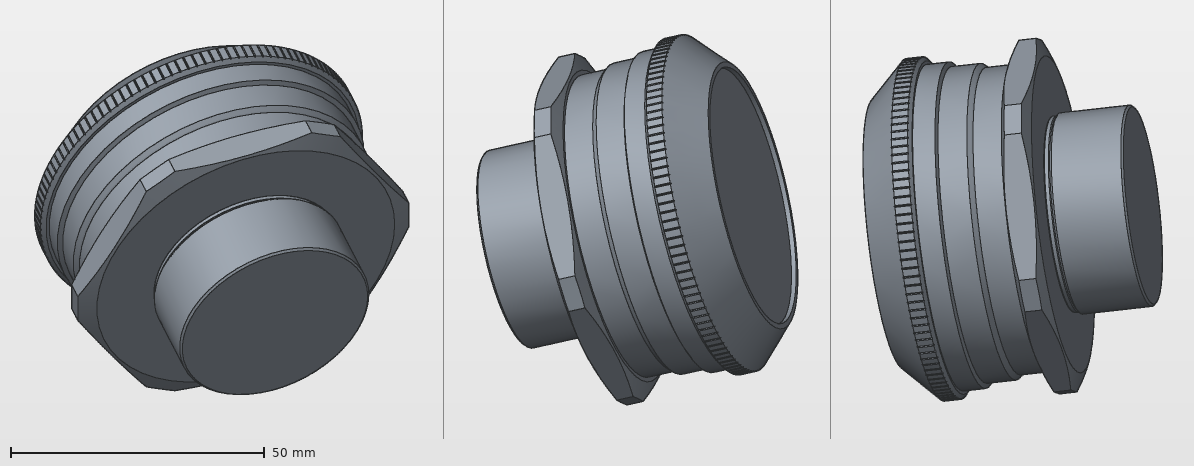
import cadquery as cq
import math

total_length = 50.9

front_face_diameter = 53.9
recess_diameter = 51.8
recess_depth = 1.0
rim_diameter = 68.0
cone_length = 7.2
rim_end = 10.4
rim_bevel_end = 11.1
rim_bevel_height = 0.9

groove_count = 120
groove_width = 0.35
groove_depth = 0.175

front_step_diameter = 64.9
front_step_end = 15.6
front_bevel_end = 16.0
middle_step_diameter = 62.9
middle_step_end = 21.8
middle_bevel_end = 22.65
lip_height = 0.2
rear_step_diameter = 61.1

hex_start = 28.7
hex_thickness = 6.1
hex_across_flats = 64.0
hex_across_corners = 69.9
hex_face_diameter = 62.9
hex_bevel_angle = 20

collar_diameter = 39.0
collar_end = 36.0
collar_edge_break = 0.2
spigot_diameter = 40.0
spigot_end_chamfer = 0.4

hex_end = hex_start + hex_thickness
rim_radius = rim_diameter / 2
spigot_radius = spigot_diameter / 2
collar_radius = collar_diameter / 2


def revolve_about_x(points):
    """Revolve a closed (x, radius) outline about the X axis."""
    return cq.Workplane("XY").polyline(points).close().revolve(360, (0, 0, 0), (1, 0, 0))


def turned_body():
    front_radius = front_step_diameter / 2
    middle_radius = middle_step_diameter / 2
    rear_radius = rear_step_diameter / 2
    spigot_bevel_end = collar_end + spigot_radius - collar_radius
    return revolve_about_x([
        (recess_depth, 0),
        (recess_depth, recess_diameter / 2),
        (0, recess_diameter / 2),
        (0, front_face_diameter / 2),
        (cone_length, rim_radius),
        (rim_end, rim_radius),
        (rim_bevel_end, rim_radius - rim_bevel_height),
        (rim_bevel_end, front_radius),
        (front_step_end, front_radius),
        (front_bevel_end, middle_radius),
        (middle_step_end, middle_radius),
        (middle_bevel_end, rear_radius + lip_height),
        (middle_bevel_end + lip_height, rear_radius),
        (hex_end, rear_radius),
        (hex_end, collar_radius - collar_edge_break),
        (hex_end + collar_edge_break, collar_radius),
        (collar_end - collar_edge_break, collar_radius),
        (collar_end, collar_radius - collar_edge_break),
        (spigot_bevel_end, spigot_radius),
        (total_length - spigot_end_chamfer, spigot_radius),
        (total_length, spigot_radius - spigot_end_chamfer),
        (total_length, 0),
    ])


def knurl_grooves():
    """V-grooves over the rim, with a tooth centred on the Y and Z axes."""
    overlap = 0.35
    half_width = groove_width / 2 * (groove_depth + overlap) / groove_depth
    pitch = 360 / groove_count
    cutter = (
        cq.Workplane("YZ")
        .polyline([
            (0, rim_radius - groove_depth),
            (half_width, rim_radius + overlap),
            (-half_width, rim_radius + overlap),
        ])
        .close()
        .extrude(rim_bevel_end)
    )
    cutters = [
        cutter.rotate((0, 0, 0), (1, 0, 0), (i + 0.5) * pitch).val()
        for i in range(groove_count)
    ]
    return cq.Compound.makeCompound(cutters)


def hex_prism(across_flats, turn):
    """Hexagonal prism along X; at zero turn its corners point along Y."""
    corner_diameter = across_flats / math.cos(math.radians(30))
    start_plane = cq.Workplane("YZ", origin=(hex_start, 0, 0))
    prism = start_plane.polygon(6, corner_diameter).extrude(hex_thickness)
    return prism.rotate((0, 0, 0), (1, 0, 0), turn)


def hex_flange():
    """Hexagon with flats facing Z, corners cut flat, and both faces bevelled by a cone."""
    flange = hex_prism(hex_across_flats, 0).intersect(hex_prism(hex_across_corners, 30))
    face_radius = hex_face_diameter / 2
    middle = hex_start + hex_thickness / 2
    peak_radius = face_radius + hex_thickness / 2 / math.tan(math.radians(hex_bevel_angle))
    double_cone = revolve_about_x([
        (hex_start, 0),
        (hex_start, face_radius),
        (middle, peak_radius),
        (hex_end, face_radius),
        (hex_end, 0),
    ])
    return flange.intersect(double_cone)


result = turned_body().cut(cq.Workplane(knurl_grooves())).union(hex_flange())